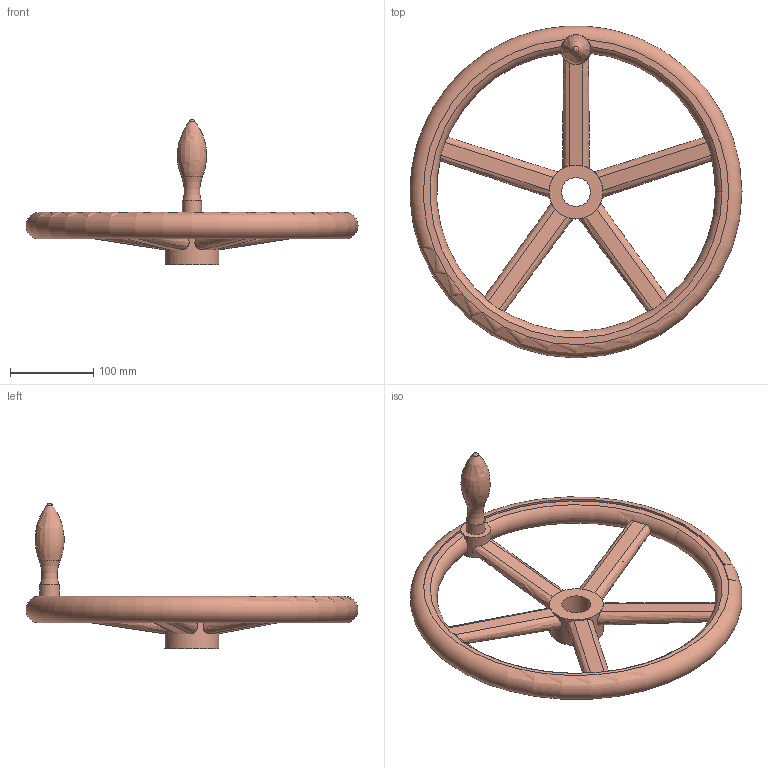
import cadquery as cq
import math

HUB_DIAMETER = 65.0
HUB_HEIGHT = 38.0
BORE_DIAMETER = 35.0

WHEEL_DIAMETER = 400.0
RIM_HEIGHT = 32.0
RIM_FLAT_WIDTH = 8.0
RIM_INNER_BULGE = 8.0
RIM_STEP = 2.5
RIM_BOTTOM_Z = 31.0

SPOKE_COUNT = 5
FIRST_SPOKE_ANGLE = 90.0
SPOKE_FLAT_WIDTH = 16.3
SPOKE_HUB_THICKNESS = 19.0
SPOKE_HUB_BULGE = 8.0
SPOKE_HUB_Z = 27.3
SPOKE_RIM_THICKNESS = 14.0
SPOKE_RIM_BULGE = 7.0
SPOKE_RIM_Z = 45.0
SPOKE_OVERLAP = 8.0

HANDLE_RADIAL_POSITION = 171.5
BOSS_DIAMETER = 36.0
TOTAL_HEIGHT = 175.0
COLLAR_RADIUS = 11.6
COLLAR_HEIGHT = 14.0
NECK_RADIUS = 9.3
NECK_HEIGHT = 26.3
GRIP_RADIUS = 17.75
GRIP_WIDEST_HEIGHT = 68.5
GRIP_ARC_RADIUS = 66.0
TIP_RISE = 2.5

rim_top_z = RIM_BOTTOM_Z + RIM_HEIGHT
rim_mid_z = RIM_BOTTOM_Z + RIM_HEIGHT / 2
band_bottom_z = RIM_BOTTOM_Z + RIM_STEP
band_top_z = rim_top_z - RIM_STEP
wheel_radius = WHEEL_DIAMETER / 2
rim_flat_outer_radius = wheel_radius - RIM_HEIGHT / 2
rim_flat_inner_radius = rim_flat_outer_radius - RIM_FLAT_WIDTH
rim_inner_radius = rim_flat_inner_radius - RIM_INNER_BULGE


def make_hub():
    return cq.Workplane("XY").circle(HUB_DIAMETER / 2).extrude(HUB_HEIGHT)


def make_rim():
    section = (
        cq.Workplane("XZ")
        .moveTo(rim_flat_inner_radius, band_bottom_z)
        .lineTo(rim_flat_outer_radius, band_bottom_z)
        .lineTo(rim_flat_outer_radius, RIM_BOTTOM_Z)
        .threePointArc((wheel_radius, rim_mid_z), (rim_flat_outer_radius, rim_top_z))
        .lineTo(rim_flat_outer_radius, band_top_z)
        .lineTo(rim_flat_inner_radius, band_top_z)
        .threePointArc((rim_inner_radius, rim_mid_z), (rim_flat_inner_radius, band_bottom_z))
        .close()
    )
    return section.revolve(360, (0, 0, 0), (0, 1, 0))


def spoke_section(radius):
    """Closed spoke outline in the plane x = radius, for a spoke lying along +X."""
    hub_radius = HUB_DIAMETER / 2
    fraction = (radius - hub_radius) / (rim_inner_radius - hub_radius)

    def along_spoke(at_hub, at_rim):
        return at_hub + fraction * (at_rim - at_hub)

    half_flat = SPOKE_FLAT_WIDTH / 2
    half_width = half_flat + along_spoke(SPOKE_HUB_BULGE, SPOKE_RIM_BULGE)
    half_thickness = along_spoke(SPOKE_HUB_THICKNESS, SPOKE_RIM_THICKNESS) / 2
    mid_z = along_spoke(SPOKE_HUB_Z, SPOKE_RIM_Z)
    bottom_z = mid_z - half_thickness
    top_z = mid_z + half_thickness
    outline = (
        cq.Workplane("YZ", origin=(radius, 0, 0))
        .moveTo(-half_flat, bottom_z)
        .lineTo(half_flat, bottom_z)
        .threePointArc((half_width, mid_z), (half_flat, top_z))
        .lineTo(-half_flat, top_z)
        .threePointArc((-half_width, mid_z), (-half_flat, bottom_z))
        .close()
    )
    return outline.val()


def make_spoke(angle):
    """One spoke, sunk into the hub and into the rim by the overlap."""
    hub_end = spoke_section(HUB_DIAMETER / 2 - SPOKE_OVERLAP)
    rim_end = spoke_section(rim_inner_radius + SPOKE_OVERLAP)
    spoke = cq.Solid.makeLoft([hub_end, rim_end], True)
    return cq.Workplane(spoke).rotate((0, 0, 0), (0, 0, 1), angle)


def make_handle():
    """Boss and grip, built about the Z axis and then moved to the first spoke."""
    boss = cq.Workplane("XY").circle(BOSS_DIAMETER / 2).extrude(band_bottom_z - rim_top_z)

    axial_gap = GRIP_WIDEST_HEIGHT - NECK_HEIGHT
    radial_gap = GRIP_RADIUS - NECK_RADIUS
    arc_radius_sum = (axial_gap**2 + radial_gap**2) / (2 * radial_gap)
    neck_arc_radius = arc_radius_sum - GRIP_ARC_RADIUS
    neck_center_radius = NECK_RADIUS + neck_arc_radius
    grip_center_radius = GRIP_RADIUS - GRIP_ARC_RADIUS

    def neck_point(height):
        offset = math.sqrt(neck_arc_radius**2 - (height - NECK_HEIGHT) ** 2)
        return (neck_center_radius - offset, height)

    neck_share = neck_arc_radius / arc_radius_sum
    neck_end_height = NECK_HEIGHT + axial_gap * neck_share
    tip_height = TOTAL_HEIGHT - rim_top_z
    shoulder_height = tip_height - TIP_RISE
    grip_offset = math.sqrt(GRIP_ARC_RADIUS**2 - (shoulder_height - GRIP_WIDEST_HEIGHT) ** 2)
    shoulder_radius = grip_center_radius + grip_offset

    tip_sphere_radius = (shoulder_radius**2 + TIP_RISE**2) / (2 * TIP_RISE)
    tip_mid_radius = shoulder_radius / 2
    tip_center_height = tip_height - tip_sphere_radius
    tip_mid_height = tip_center_height + math.sqrt(tip_sphere_radius**2 - tip_mid_radius**2)

    profile = (
        cq.Workplane("XZ")
        .moveTo(0, 0)
        .lineTo(COLLAR_RADIUS, 0)
        .lineTo(COLLAR_RADIUS, COLLAR_HEIGHT)
        .lineTo(*neck_point(COLLAR_HEIGHT))
        .threePointArc(neck_point((COLLAR_HEIGHT + NECK_HEIGHT) / 2), (NECK_RADIUS, NECK_HEIGHT))
        .threePointArc(neck_point((NECK_HEIGHT + neck_end_height) / 2), neck_point(neck_end_height))
        .threePointArc((GRIP_RADIUS, GRIP_WIDEST_HEIGHT), (shoulder_radius, shoulder_height))
        .threePointArc((tip_mid_radius, tip_mid_height), (0, tip_height))
        .close()
    )
    grip = profile.revolve(360, (0, 0, 0), (0, 1, 0))
    return boss.union(grip).translate((0, HANDLE_RADIAL_POSITION, rim_top_z))


result = make_hub().union(make_rim())
for index in range(SPOKE_COUNT):
    result = result.union(make_spoke(FIRST_SPOKE_ANGLE + index * 360 / SPOKE_COUNT))
result = result.union(make_handle())
result = result.cut(cq.Workplane("XY").circle(BORE_DIAMETER / 2).extrude(HUB_HEIGHT))